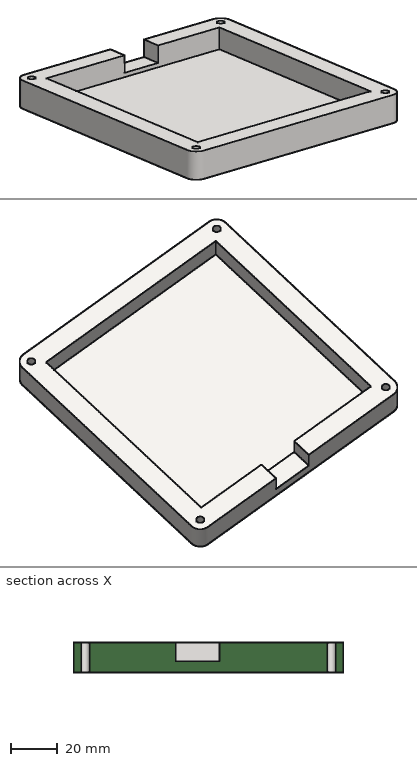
import cadquery as cq

wall = 9.5
pocket_length = 100.85
pocket_width = 96.3
body_length = pocket_length + 2 * wall
body_width = pocket_width + 2 * wall
body_height = 13.0
corner_radius = 5.0

floor_thickness = 3.0
pocket_depth = body_height - floor_thickness

hole_diameter = 3.4
hole_spacing_x = body_length - 2 * corner_radius
hole_spacing_y = body_width - 2 * corner_radius

notch_width = 18.6
notch_depth = 8.0
notch_center_y = 4.7


def make_body():
    """Solid block with rounded vertical edges, standing on Z = 0."""
    block = cq.Workplane("XY").box(body_length, body_width, body_height, centered=(True, True, False))
    return block.edges("|Z").fillet(corner_radius)


def cut_pocket(body):
    """Square-cornered pocket that leaves the floor and an even wall."""
    return body.faces(">Z").workplane().rect(pocket_length, pocket_width).cutBlind(-pocket_depth)


def make_corner_holes():
    """Four through-hole cylinders, one per corner."""
    centers = cq.Workplane("XY").rect(hole_spacing_x, hole_spacing_y, forConstruction=True).vertices()
    return centers.circle(hole_diameter / 2).extrude(body_height)


def make_notch():
    """Cutter that spans the thickness of the -X wall."""
    notch_center_x = -(body_length - wall) / 2
    notch_bottom = body_height - notch_depth
    cutter = cq.Workplane("XY").box(wall, notch_width, notch_depth, centered=(True, True, False))
    return cutter.translate((notch_center_x, notch_center_y, notch_bottom))


result = cut_pocket(make_body()).cut(make_corner_holes()).cut(make_notch())